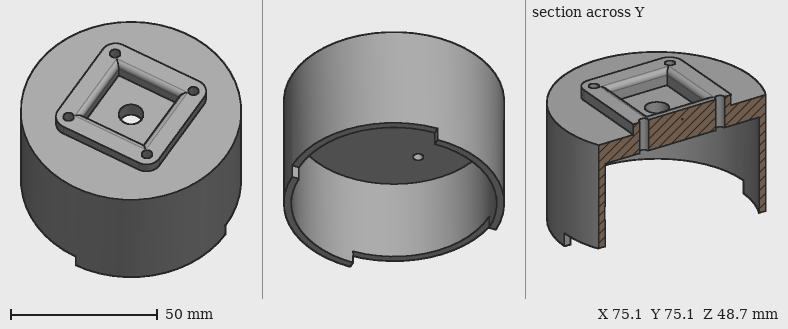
import cadquery as cq

body_diameter = 75.1
bore_diameter = 70.0
total_height = 48.7
pad_height = 4.0
body_height = total_height - pad_height

pad_side = 40.0
pad_corner_radius = 5.0
pocket_depth = 6.0
pocket_side = 23.95
pocket_rim_radius = 2.0
selection_margin = 0.1
pocket_floor_z = total_height - pocket_depth

floor_thickness = 6.0
bore_depth = pocket_floor_z - floor_thickness

center_hole_diameter = 8.3
screw_hole_diameter = 3.5
screw_hole_pitch = 31.0

notch_height = 4.95
notch_clearance = 0.3


def make_body():
    body = cq.Workplane("XY").circle(body_diameter / 2).extrude(body_height)
    bore = cq.Workplane("XY").circle(bore_diameter / 2).extrude(bore_depth)
    return body.cut(bore)


def make_pad():
    pad = cq.Workplane("XY").workplane(offset=body_height).rect(pad_side, pad_side).extrude(pad_height)
    return pad.edges("|Z").fillet(pad_corner_radius)


def cut_pocket(part):
    pocket = (
        cq.Workplane("XY")
        .workplane(offset=pocket_floor_z)
        .rect(pocket_side, pocket_side)
        .extrude(pocket_depth)
    )
    reach = pocket_side / 2 + selection_margin
    rim = cq.selectors.BoxSelector(
        (-reach, -reach, total_height - selection_margin),
        (reach, reach, total_height + selection_margin),
    )
    return part.cut(pocket).edges(rim).fillet(pocket_rim_radius)


def make_holes():
    center_hole = cq.Workplane("XY").circle(center_hole_diameter / 2).extrude(total_height)
    screw_holes = (
        cq.Workplane("XY")
        .rect(screw_hole_pitch, screw_hole_pitch, forConstruction=True)
        .vertices()
        .circle(screw_hole_diameter / 2)
        .extrude(total_height)
    )
    return center_hole.union(screw_holes)


def make_notch(side):
    """Quarter cutter in the -X -Y (side = -1) or +X +Y (side = 1) quadrant."""
    reach = body_diameter / 2 + notch_clearance
    middle = side * (reach / 2 - notch_clearance)
    return (
        cq.Workplane("XY")
        .center(middle, middle)
        .rect(reach, reach)
        .extrude(notch_height)
    )


result = cut_pocket(make_body().union(make_pad())).cut(make_holes())
for side in (-1, 1):
    result = result.cut(make_notch(side))